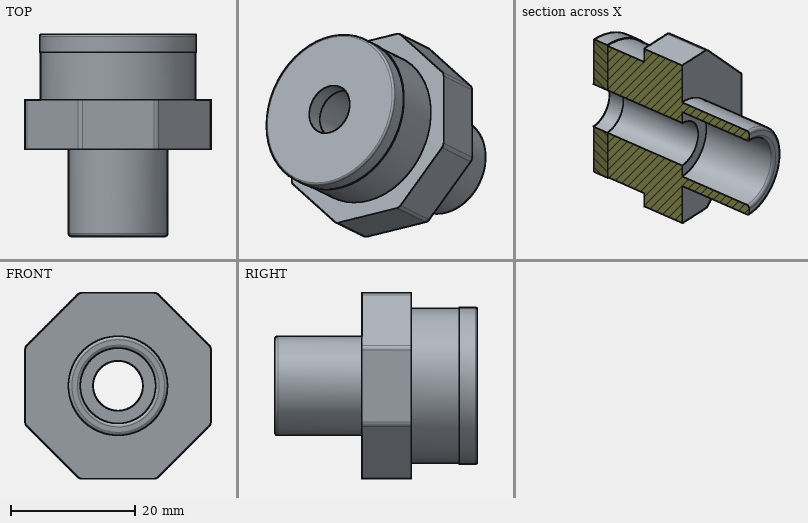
import cadquery as cq
import math

total_length = 32.65
through_diameter = 8.0

across_flats = 30.0
octagon_sides = 8
octagon_length = 8.0
octagon_corner_radius = 1.0

spigot_length = 14.05
spigot_diameter = 16.0
spigot_bore_diameter = 12.15
spigot_edge_radius = 0.52

barrel_diameter = 25.05
collar_diameter = 25.3
collar_length = 2.95
collar_edge_radius = 0.33

tip_y = -total_length / 2
end_y = total_length / 2
octagon_front_y = tip_y + spigot_length
octagon_back_y = octagon_front_y + octagon_length
collar_front_y = end_y - collar_length


def cylinder(diameter, start_y, stop_y):
    """Solid cylinder on the Y axis between two stations."""
    plane = cq.Plane(origin=(0, start_y, 0), xDir=(1, 0, 0), normal=(0, 1, 0))
    return cq.Workplane(plane).circle(diameter / 2).extrude(stop_y - start_y)


def make_octagon():
    """Octagonal section with flats square to X and Z and rounded corners."""
    across_corners = across_flats / math.cos(math.pi / octagon_sides)
    plane = cq.Plane(origin=(0, octagon_front_y, 0), xDir=(1, 0, 0), normal=(0, 1, 0))
    half_step = 180 / octagon_sides
    return (
        cq.Workplane(plane)
        .transformed(rotate=(0, 0, half_step))
        .polygon(octagon_sides, across_corners)
        .extrude(octagon_length)
        .edges("|Y")
        .fillet(octagon_corner_radius)
    )


def make_spigot():
    """Tube with both edges of its open tip rounded."""
    outside = cylinder(spigot_diameter, tip_y, octagon_front_y)
    bore = cylinder(spigot_bore_diameter, tip_y, octagon_front_y)
    return outside.cut(bore).faces("<Y").edges().fillet(spigot_edge_radius)


def make_fitting():
    """Spigot, octagon and barrel as one solid with the through hole."""
    barrel = cylinder(barrel_diameter, octagon_back_y, collar_front_y)
    through_hole = cylinder(through_diameter, tip_y, end_y)
    return make_octagon().union(make_spigot()).union(barrel).cut(through_hole)


def make_collar():
    """Slightly wider end collar with a rounded outer rim."""
    blank = cylinder(collar_diameter, collar_front_y, end_y)
    rounded = blank.faces(">Y").edges().fillet(collar_edge_radius)
    return rounded.cut(cylinder(through_diameter, collar_front_y, end_y))


fitting = make_fitting()
collar = make_collar()

result = cq.Compound.makeCompound([fitting.val(), collar.val()])